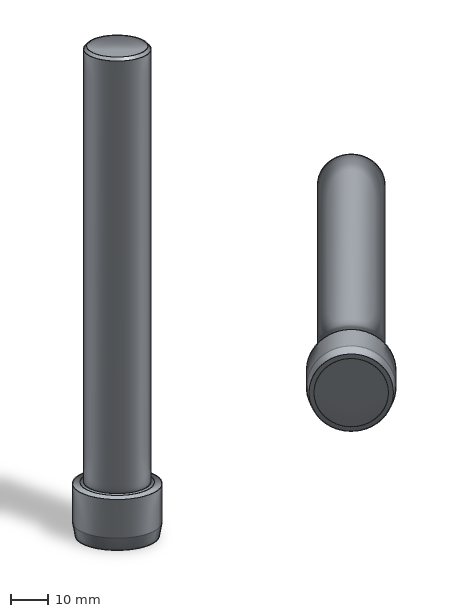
import cadquery as cq

pin_length = 140.0
pin_radius = 18.0 / 2
collar_radius = 24.0 / 2
collar_height = 15.4

foot_radius = 10.0

pin_bevel_width = 0.8
pin_bevel_height = 0.8

lead_height = 3.8
lead_inset = 0.7

cone_rise = 0.5
collar_rim_height = collar_height - cone_rise
cone_slope = cone_rise / (collar_radius - pin_radius)
bore_rim_height = collar_rim_height + cone_slope * (collar_radius - foot_radius)


def revolve_about_z(profile):
    """Turn a closed (radius, height) outline into a solid around the Z axis."""
    return cq.Workplane("XZ").polyline(profile).close().revolve(360, (0, 0), (0, 1))


def make_pin():
    """Round pin with a wider foot, a conical shoulder and a bevelled upper end."""
    return revolve_about_z([
        (0, 0),
        (foot_radius, 0),
        (foot_radius, bore_rim_height),
        (pin_radius, collar_height),
        (pin_radius, pin_length - pin_bevel_height),
        (pin_radius - pin_bevel_width, pin_length),
        (0, pin_length),
    ])


def make_collar():
    """Ring around the foot of the pin, tapered below and conical on top."""
    return revolve_about_z([
        (foot_radius, 0),
        (collar_radius - lead_inset, 0),
        (collar_radius, lead_height),
        (collar_radius, collar_rim_height),
        (foot_radius, bore_rim_height),
    ])


pin = make_pin()
collar = make_collar()

result = cq.Compound.makeCompound([pin.val(), collar.val()])